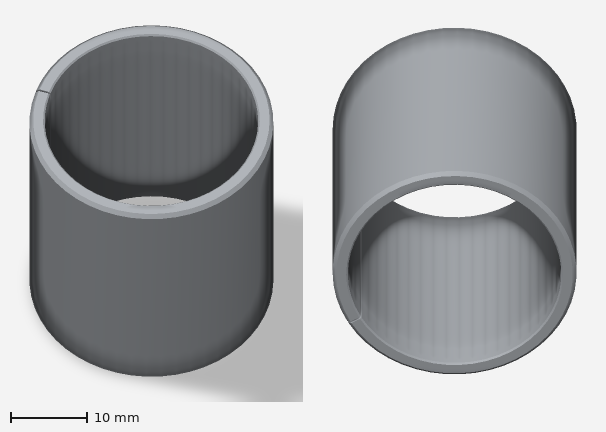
import cadquery as cq

length = 35.0
outer_diameter = 32.0
bore_diameter = 28.0
outer_chamfer = 0.5
bore_chamfer = 0.2
slit_angle = 1.0

outer_radius = outer_diameter / 2
bore_radius = bore_diameter / 2
half_length = length / 2


def make_wall_section():
    """Wall section in the XZ plane on the -X side, with all four corners chamfered."""
    corners = [
        (-bore_radius - bore_chamfer, -half_length),
        (-outer_radius + outer_chamfer, -half_length),
        (-outer_radius, -half_length + outer_chamfer),
        (-outer_radius, half_length - outer_chamfer),
        (-outer_radius + outer_chamfer, half_length),
        (-bore_radius - bore_chamfer, half_length),
        (-bore_radius, half_length - bore_chamfer),
        (-bore_radius, -half_length + bore_chamfer),
    ]
    return cq.Workplane("XZ").polyline(corners).close()


result = make_wall_section().revolve(360 - slit_angle, (0, 0), (0, 1))